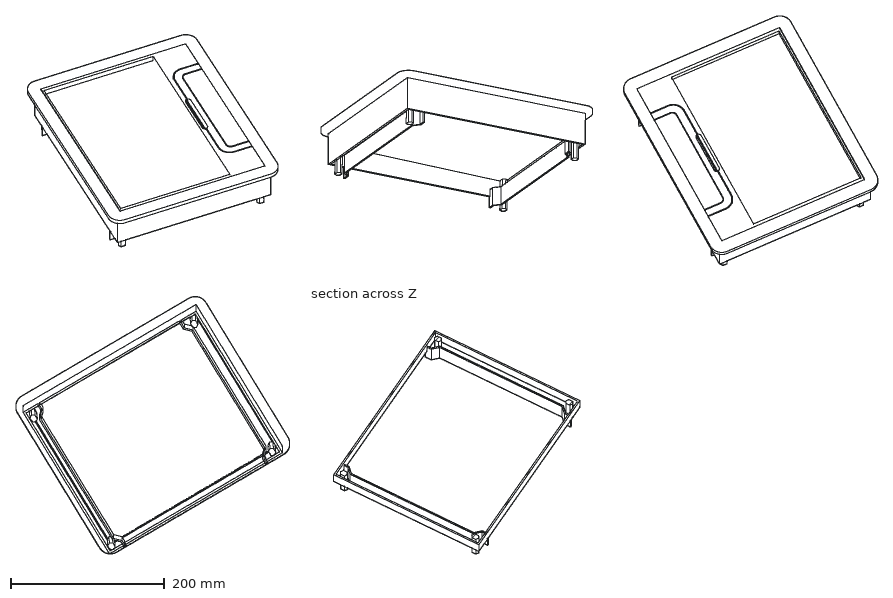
import cadquery as cq
import math

LENGTH = 286.0
WIDTH = 241.0
HEIGHT = 69.2

RIM_THICKNESS = 6.5
RIM_CORNER_RADIUS = 16.3
RIM_FILLET = 1.1
BOX_LENGTH = 262.5
BOX_WIDTH = 219.3
BOX_DEPTH = 49.8
WALL_THICKNESS = 3.0
OPENING_LENGTH = 251.7
OPENING_WIDTH = 207.3

RAIL_THICKNESS = 2.0
RAIL_BOTTOM = -65.0
RAIL_TOP = -40.0
RAIL_END_X = 106.5
RAIL_END_STRAIGHT = 8.5
RAIL_CRANK = 8.0

COVER_THICKNESS = 11.5
COVER_FRONT_GAP = 0.5
POCKET_LENGTH = 243.0
POCKET_BACK_Y = 55.5
POCKET_FRONT_Y = -100.7
POCKET_DEPTH = 7.5
POCKET_FILLET = 1.1
FLAP_LENGTH = 171.5
FLAP_FRONT_Y = 62.0
FLAP_CORNER_RADIUS = 16.3
FLAP_GROOVE_WIDTH = 1.1
FLAP_GROOVE_DEPTH = 5.7
INLAY_LENGTH = 149.5
INLAY_FRONT_Y = 73.8
INLAY_CORNER_RADIUS = 6.5
INLAY_GROOVE_WIDTH = 0.5
INLAY_GROOVE_DEPTH = 1.0
GRIP_RADIUS = 3.7
GRIP_STRAIGHT = 53.0

BASE_TILT = 0.9
TILT_AXIS_Z = -57.2
BASE_LENGTH = 250.0
BASE_WIDTH = 206.0
BASE_THICKNESS = 5.7
BASE_TOP = -20.0
LEG_LENGTH = 7.7
LEG_WIDTH = 10.5
LEG_FLAT_WIDTH = 6.0
LEG_X = 121.8
LEG_Y = 99.0


def block(length, width, bottom, top):
    """Box centred on the Z axis between two heights."""
    return cq.Workplane("XY", origin=(0, 0, bottom)).rect(length, width).extrude(top - bottom)


def rail(side):
    """Sheet rail on one side (-1 or +1), its two ends cranked inwards to the box ends."""
    end_y = BOX_WIDTH / 2
    crank_start_y = end_y - RAIL_END_STRAIGHT
    crank_end_y = crank_start_y - RAIL_CRANK
    middle_x = RAIL_END_X + RAIL_CRANK
    bend_shift = RAIL_THICKNESS * math.tan(math.radians(22.5))
    inner_half = [
        (RAIL_END_X, end_y),
        (RAIL_END_X, crank_start_y - bend_shift),
        (middle_x, crank_end_y - bend_shift),
    ]
    outer_half = [
        (RAIL_END_X + RAIL_THICKNESS, end_y),
        (RAIL_END_X + RAIL_THICKNESS, crank_start_y),
        (middle_x + RAIL_THICKNESS, crank_end_y),
    ]
    back_half = inner_half[::-1] + outer_half
    front_half = [(x, -y) for x, y in reversed(back_half)]
    outline = [(side * x, y) for x, y in back_half + front_half]
    profile = cq.Workplane("XY", origin=(0, 0, RAIL_BOTTOM)).polyline(outline).close()
    return profile.extrude(RAIL_TOP - RAIL_BOTTOM)


def make_housing():
    rim = block(LENGTH, WIDTH, -RIM_THICKNESS, 0).edges("|Z").fillet(RIM_CORNER_RADIUS)
    rim = rim.faces("<Z").edges().fillet(RIM_FILLET)
    box = block(BOX_LENGTH, BOX_WIDTH, -BOX_DEPTH, -RIM_THICKNESS)
    opening = block(OPENING_LENGTH, OPENING_WIDTH, -BOX_DEPTH, 0)
    cavity_length = BOX_LENGTH - 2 * WALL_THICKNESS
    cavity_width = BOX_WIDTH - 2 * WALL_THICKNESS
    cavity = block(cavity_length, cavity_width, -BOX_DEPTH, -COVER_THICKNESS)
    housing = rim.union(box).cut(opening).cut(cavity)
    for side in (-1, 1):
        housing = housing.union(rail(side))
    return housing


def flap_outline(length, front_y, corner_radius, depth):
    """Block with two rounded front corners that reaches the back edge of the cover."""
    back_y = OPENING_WIDTH / 2
    shape = cq.Workplane("XY", origin=(0, (front_y + back_y) / 2, -depth))
    shape = shape.rect(length, back_y - front_y).extrude(depth)
    return shape.edges("|Z and <Y").fillet(corner_radius)


def groove(length, front_y, corner_radius, width, depth):
    """U-shaped groove, open at the back edge of the cover."""
    outside = flap_outline(length, front_y, corner_radius, depth)
    inside = flap_outline(length - 2 * width, front_y + width, corner_radius - width, depth)
    return outside.cut(inside)


def finger_grip():
    """Half-round trough with ball ends, centred on the front groove of the flap."""
    grip_y = FLAP_FRONT_Y + FLAP_GROOVE_WIDTH / 2
    half_straight = GRIP_STRAIGHT / 2
    grip = cq.Workplane("YZ", origin=(-half_straight, grip_y, 0)).circle(GRIP_RADIUS).extrude(GRIP_STRAIGHT)
    for x in (-half_straight, half_straight):
        grip = grip.union(cq.Workplane("XY", origin=(x, grip_y, 0)).sphere(GRIP_RADIUS))
    return grip


def pocket():
    """Rectangular pocket with a fillet along the back of its floor."""
    width = POCKET_BACK_Y - POCKET_FRONT_Y
    middle_y = (POCKET_BACK_Y + POCKET_FRONT_Y) / 2
    space = block(POCKET_LENGTH, width, -POCKET_DEPTH, 0).translate((0, middle_y, 0))
    return space.faces("<Z").edges(">Y").fillet(POCKET_FILLET)


def make_cover():
    width = OPENING_WIDTH - COVER_FRONT_GAP
    cover = block(OPENING_LENGTH, width, -COVER_THICKNESS, 0).translate((0, COVER_FRONT_GAP / 2, 0))
    flap_groove = groove(
        FLAP_LENGTH, FLAP_FRONT_Y, FLAP_CORNER_RADIUS, FLAP_GROOVE_WIDTH, FLAP_GROOVE_DEPTH
    )
    inlay_groove = groove(
        INLAY_LENGTH, INLAY_FRONT_Y, INLAY_CORNER_RADIUS, INLAY_GROOVE_WIDTH, INLAY_GROOVE_DEPTH
    )
    return cover.cut(pocket()).cut(flap_groove).cut(inlay_groove).cut(finger_grip())


def leg(x, y, bottom):
    """Six-sided leg with two flats facing along X and ridges facing along Y."""
    flat_x = LEG_LENGTH / 2
    flat_y = LEG_FLAT_WIDTH / 2
    ridge_y = LEG_WIDTH / 2
    outline = [
        (flat_x, -flat_y),
        (flat_x, flat_y),
        (0, ridge_y),
        (-flat_x, flat_y),
        (-flat_x, -flat_y),
        (0, -ridge_y),
    ]
    return cq.Workplane("XY", origin=(x, y, bottom)).polyline(outline).close().extrude(BASE_TOP - bottom)


def make_base():
    tilt = math.radians(BASE_TILT)
    lowest_edge_x = LEG_X + LEG_LENGTH / 2
    drop_below_axis = (HEIGHT + TILT_AXIS_Z - lowest_edge_x * math.sin(tilt)) / math.cos(tilt)
    leg_bottom = TILT_AXIS_Z - drop_below_axis
    base = block(BASE_LENGTH, BASE_WIDTH, BASE_TOP - BASE_THICKNESS, BASE_TOP)
    for x in (-LEG_X, LEG_X):
        for y in (-LEG_Y, LEG_Y):
            base = base.union(leg(x, y, leg_bottom))
    return base.rotate((0, 0, TILT_AXIS_Z), (0, 1, TILT_AXIS_Z), -BASE_TILT)


housing = make_housing()
cover = make_cover()
base = make_base()

result = cq.Compound.makeCompound([housing.val(), cover.val(), base.val()])